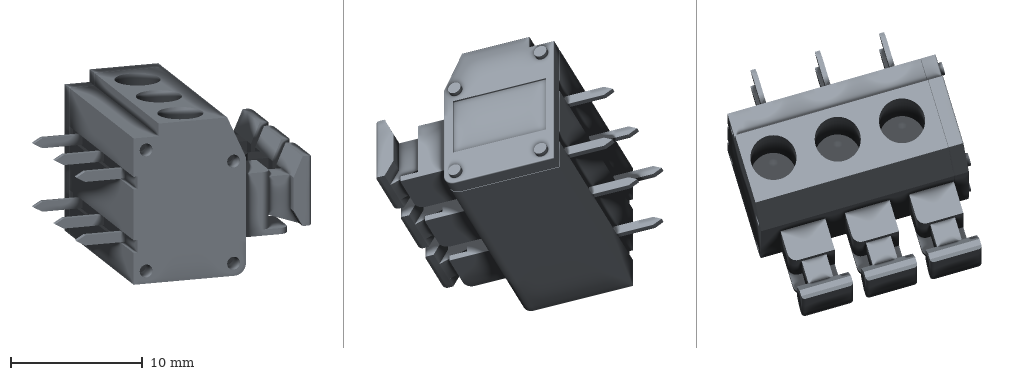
import cadquery as cq


MODULE_COUNT = 3
PITCH = 5.08

DEPTH = 8.98
HEIGHT = 12.5
STEP_DEPTH = 2.0
STEP_DROP = 1.0
SLOPE_TOP_Y = 7.49
SLOPE_BASE_Z = 9.24
CORNER_RADIUS = 0.92

PLATE_THICKNESS = 1.2
EDGE_RADIUS = 0.1
PANEL_Y = (0.65, 8.2)
PANEL_Z = (2.98, 8.0)
PANEL_RECESS = 0.15

PEG_DIAMETER = 1.01
PEG_LENGTH = 1.5
PEG_INSET = 1.0
UPPER_BACK_PEG_Z = 9.02
PEG_CENTRES = [
    (PEG_INSET, PEG_INSET),
    (DEPTH - PEG_INSET, PEG_INSET),
    (PEG_INSET, HEIGHT - STEP_DROP - PEG_INSET),
    (DEPTH - PEG_INSET, UPPER_BACK_PEG_Z),
]

ENTRY_DIAMETER = 3.5
ENTRY_X = 2.78
ENTRY_Y = 4.5
ENTRY_DEPTH = 5.52

PIN_LEVELS = [3.0, 7.99]
GROOVE_HEIGHT = 1.0
GROOVE_DEPTH = 0.3
PIN_X = 2.0
PIN_WIDTH = 0.4
PIN_HEIGHT = 0.8
PIN_REACH = 3.6
PIN_POINT = 0.7

GUIDE_WIDTH = 3.53
GUIDE_BASE_Z = 2.5
GUIDE_TOP_Z = 7.49
GUIDE_END_Y = 11.52
TONGUE_END_Y = 12.97
TONGUE_THICKNESS = 0.48
GUIDE_RADIUS = 0.7

NECK_LEFT_X = 0.66
NECK_WIDTH = 1.95
NECK_TOP_Z = 6.85
NECK_BASE_Z = 3.86
PAD_LEFT_X = -0.53
PAD_BASE_Z = 2.98
PAD_TOP_Z = 8.46
PAD_BACK_Y = 14.8
PAD_RIM_Y = 14.04
PAD_FACE_Y = 13.32
PAD_FACE_BASE_Z = 4.21
PAD_EDGE_DEPTH = 0.28
PAD_EDGE_DROP = 0.07
PAD_CORNER_RADIUS = 0.28


def side_plate(points, left_x, width):
    """Extrude a closed Y-Z outline along +X from left_x."""
    return cq.Workplane("YZ").workplane(offset=left_x).polyline(points).close().extrude(width)


def side_cylinders(centres, diameter, left_x, length):
    """Cylinders along +X from left_x, centred on the given Y-Z points."""
    return (
        cq.Workplane("YZ").workplane(offset=left_x)
        .pushPoints(centres).circle(diameter / 2).extrude(length)
    )


def block(x_range, y_range, z_range):
    """Axis-aligned block between the given limits."""
    (x0, x1), (y0, y1), (z0, z1) = x_range, y_range, z_range
    return cq.Workplane("XY").box(x1 - x0, y1 - y0, z1 - z0, centered=False).translate((x0, y0, z0))


def housing_blank(left_x, width):
    """Solid with the common side outline: front step, sloped back and rounded lower back corner."""
    outline = [
        (0, 0),
        (DEPTH, 0),
        (DEPTH, SLOPE_BASE_Z),
        (SLOPE_TOP_Y, HEIGHT),
        (STEP_DEPTH, HEIGHT),
        (STEP_DEPTH, HEIGHT - STEP_DROP),
        (0, HEIGHT - STEP_DROP),
    ]
    blank = side_plate(outline, left_x, width)
    return blank.edges("|X and >Y and <Z").fillet(CORNER_RADIUS)


def make_end_plate():
    """End plate with rounded rims, a recessed panel and holes for the first module's pegs."""
    plate = housing_blank(-PLATE_THICKNESS, PLATE_THICKNESS)
    plate = plate.faces("<X or >X").edges().fillet(EDGE_RADIUS)
    panel = block((-PLATE_THICKNESS, -PLATE_THICKNESS + PANEL_RECESS), PANEL_Y, PANEL_Z)
    holes = side_cylinders(PEG_CENTRES, PEG_DIAMETER, -PLATE_THICKNESS, PLATE_THICKNESS)
    plate = plate.cut(panel).cut(holes)
    hole_rims = plate.faces("<X").edges("%CIRCLE")
    return hole_rims.fillet(EDGE_RADIUS)


def make_pin(level):
    """Flat pin from the groove floor, pointed in height at its free end."""
    half_height = PIN_HEIGHT / 2
    shoulder_y = -PIN_REACH + PIN_POINT
    outline = [
        (GROOVE_DEPTH, level - half_height),
        (GROOVE_DEPTH, level + half_height),
        (shoulder_y, level + half_height),
        (-PIN_REACH, level),
        (shoulder_y, level - half_height),
    ]
    return side_plate(outline, PIN_X - PIN_WIDTH / 2, PIN_WIDTH)


def make_guide_part(end_y, top_z):
    """Bar out of the back of the housing, rounded at its +X outer corner."""
    bar = block((0, GUIDE_WIDTH), (DEPTH, end_y), (GUIDE_BASE_Z, top_z))
    return bar.edges("|Z and >X and >Y").fillet(GUIDE_RADIUS)


def make_lever():
    """Neck and thumb pad; the pad has bevelled top and bottom edges and rounded back corners."""
    neck_outline = [
        (DEPTH, NECK_BASE_Z),
        (DEPTH, NECK_TOP_Z),
        (PAD_FACE_Y, NECK_TOP_Z),
        (PAD_RIM_Y, PAD_BASE_Z),
        (GUIDE_END_Y, NECK_BASE_Z),
    ]
    neck = side_plate(neck_outline, NECK_LEFT_X, NECK_WIDTH)

    edge_y = PAD_BACK_Y - PAD_EDGE_DEPTH
    pad_outline = [
        (PAD_FACE_Y, PAD_FACE_BASE_Z),
        (PAD_FACE_Y, NECK_TOP_Z),
        (PAD_RIM_Y, PAD_TOP_Z),
        (edge_y, PAD_TOP_Z),
        (PAD_BACK_Y, PAD_TOP_Z - PAD_EDGE_DROP),
        (PAD_BACK_Y, PAD_BASE_Z + PAD_EDGE_DROP),
        (edge_y, PAD_BASE_Z),
        (PAD_RIM_Y, PAD_BASE_Z),
    ]
    pad = side_plate(pad_outline, PAD_LEFT_X, GUIDE_WIDTH - PAD_LEFT_X)
    rounded_plan = block((PAD_LEFT_X, GUIDE_WIDTH), (PAD_FACE_Y, PAD_BACK_Y), (PAD_BASE_Z, PAD_TOP_Z))
    rounded_plan = rounded_plan.edges("|Z and >Y").fillet(PAD_CORNER_RADIUS)
    return neck.union(pad.intersect(rounded_plan))


def make_module():
    """One terminal module with its left face at X = 0."""
    module = housing_blank(0, PITCH)

    entry = (
        cq.Workplane("XY").workplane(offset=HEIGHT - ENTRY_DEPTH)
        .center(ENTRY_X, ENTRY_Y).circle(ENTRY_DIAMETER / 2).extrude(ENTRY_DEPTH)
    )
    sockets = side_cylinders(PEG_CENTRES, PEG_DIAMETER, PITCH - PEG_LENGTH, PEG_LENGTH)
    module = module.cut(entry).cut(sockets)

    for level in PIN_LEVELS:
        groove_z = (level - GROOVE_HEIGHT / 2, level + GROOVE_HEIGHT / 2)
        module = module.cut(block((0, PITCH), (0, GROOVE_DEPTH), groove_z))
        module = module.union(make_pin(level))

    module = module.union(side_cylinders(PEG_CENTRES, PEG_DIAMETER, -PEG_LENGTH, PEG_LENGTH))
    module = module.union(make_guide_part(GUIDE_END_Y, GUIDE_TOP_Z))
    module = module.union(make_guide_part(TONGUE_END_Y, GUIDE_BASE_Z + TONGUE_THICKNESS))
    return module.union(make_lever())


end_plate = make_end_plate()
module = make_module()
modules = [module.translate((index * PITCH, 0, 0)) for index in range(MODULE_COUNT)]

result = cq.Compound.makeCompound([end_plate.val(), *[copy.val() for copy in modules]])